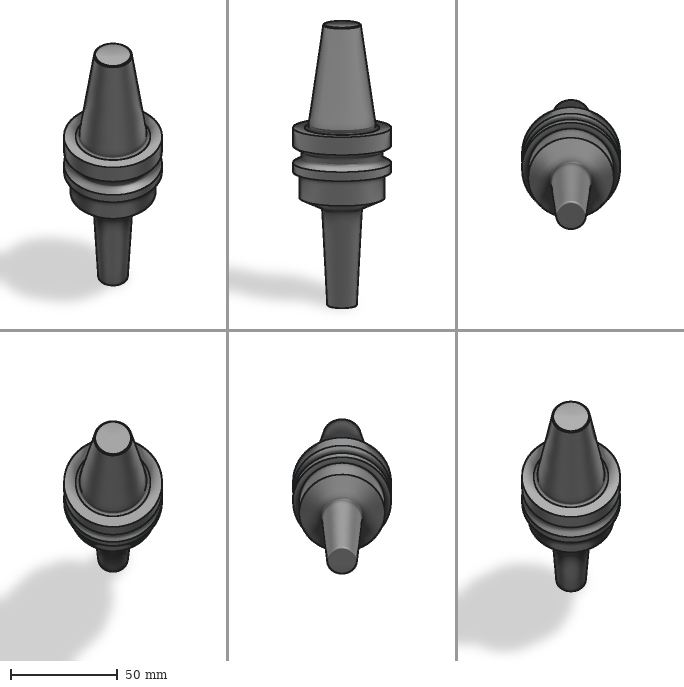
import cadquery as cq
import math


gauge_diameter = 31.75
gauge_radius = gauge_diameter / 2
shank_length = 48.4
shank_slope = 7 / 48
shank_top_radius = gauge_radius - shank_length * shank_slope
shank_top_chamfer = 0.5
taper_end_z = 0.9
land_radius = 15.65
land_top_z = 0.3
land_fillet = 0.5

flange_diameter = 46.0
flange_radius = flange_diameter / 2
flange_top_z = -1.0
flange_bottom_z = -22.0
recess_radius = 17.5
recess_depth = 0.1
recess_floor_z = flange_top_z - recess_depth

groove_center_z = -13.6
groove_width = 8.1
groove_floor_radius = 19.0
groove_flank_angle = 30.0
groove_fillet = 1.0

body_radius = 20.0
body_bottom_z = -34.4
shoulder_angle = 25.0

nose_bottom_z = -86.0
nose_tip_radius = 7.0
nose_half_angle = 3.0
nose_tip_fillet = 1.0
nose_root_fillet = 1.0


def tan_deg(angle):
    return math.tan(math.radians(angle))


def revolve_profile(points):
    """Turn an (r, z) outline, closed along the axis, about Z."""
    return cq.Workplane("XZ").polyline(points).close().revolve(360, (0, 0, 0), (0, 1, 0))


def circle_edges_at(z):
    """Selector for the circular edges lying in the plane at height z."""
    tolerance = 0.01
    reach = flange_radius + tolerance
    return cq.selectors.BoxSelector(
        (-reach, -reach, z - tolerance), (reach, reach, z + tolerance), boundingbox=True
    )


def make_shank():
    """Steep taper, land and a core that runs down through the flange."""
    taper_end_radius = gauge_radius - taper_end_z * shank_slope
    shank = revolve_profile([
        (0, shank_length),
        (shank_top_radius, shank_length),
        (taper_end_radius, taper_end_z),
        (land_radius, land_top_z),
        (land_radius, recess_floor_z),
        (recess_radius, recess_floor_z),
        (recess_radius, flange_bottom_z),
        (0, flange_bottom_z),
    ])
    land_root = shank.edges(circle_edges_at(recess_floor_z)).edges(cq.selectors.RadiusNthSelector(0))
    shank = shank.newObject(land_root.vals()).fillet(land_fillet)
    return shank.faces(">Z").edges().chamfer(shank_top_chamfer)


def make_flange():
    """Flange disc with its gripper groove, filled up to the recess floor."""
    flank_height = (flange_radius - groove_floor_radius) * tan_deg(groove_flank_angle)
    groove_top_z = groove_center_z + groove_width / 2
    groove_bottom_z = groove_center_z - groove_width / 2
    floor_top_z = groove_top_z - flank_height
    floor_bottom_z = groove_bottom_z + flank_height
    flange = revolve_profile([
        (0, recess_floor_z),
        (recess_radius, recess_floor_z),
        (recess_radius, flange_top_z),
        (flange_radius, flange_top_z),
        (flange_radius, groove_top_z),
        (groove_floor_radius, floor_top_z),
        (groove_floor_radius, floor_bottom_z),
        (flange_radius, groove_bottom_z),
        (flange_radius, flange_bottom_z),
        (0, flange_bottom_z),
    ])
    for z in (floor_top_z, floor_bottom_z):
        flange = flange.edges(circle_edges_at(z)).fillet(groove_fillet)
    return flange


def make_nose():
    """Body, shoulder cone and slender tapered nose below the flange."""
    cone_slope = tan_deg(nose_half_angle)
    shoulder_slope = tan_deg(shoulder_angle)
    nose_radius_at_body = nose_tip_radius + (body_bottom_z - nose_bottom_z) * cone_slope
    shoulder_height = (body_radius - nose_radius_at_body) / (1 / shoulder_slope - cone_slope)
    root_z = body_bottom_z - shoulder_height
    root_radius = body_radius - shoulder_height / shoulder_slope
    nose = revolve_profile([
        (0, flange_bottom_z),
        (body_radius, flange_bottom_z),
        (body_radius, body_bottom_z),
        (root_radius, root_z),
        (nose_tip_radius, nose_bottom_z),
        (0, nose_bottom_z),
    ])
    nose = nose.edges(circle_edges_at(root_z)).fillet(nose_root_fillet)
    return nose.faces("<Z").edges().fillet(nose_tip_fillet)


result = make_flange().union(make_shank()).union(make_nose())